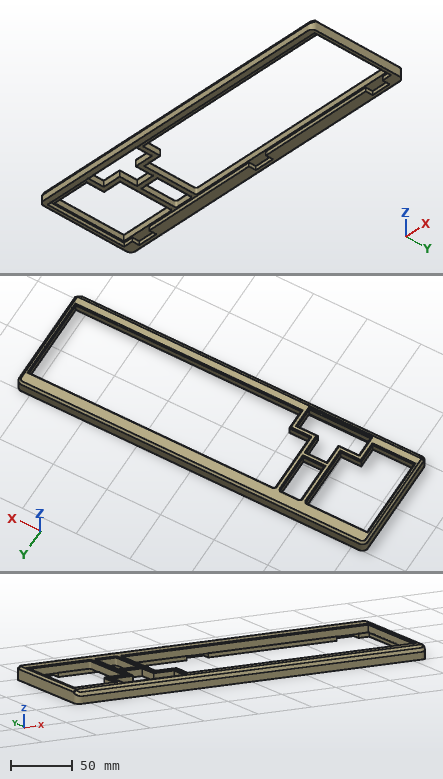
import cadquery as cq
LENGTH = 325.0
DEPTH = 101.5
HEIGHT = 11.5

RIB = 4.95
PITCH = (LENGTH - 4 * RIB) / 16
KEY_ROWS = 4
LEFT_KEYS = 3

CORNER_RADIUS = 5.0
RIB_ROOT_RADIUS = 1.6
OUTER_CHAMFER = 2.0
OPENING_CHAMFER = 1.0

RECESS_HEIGHT = 4.0
RECESS_MARGIN = 1.5
NOTCH_LENGTH = 20.0
NOTCH_SPACING = 139.0

SLOPE_DEPTH = CORNER_RADIUS
SLOPE_DROP = 3.0

LEFT_X = -LENGTH / 2 + RIB
RIGHT_X = LENGTH / 2 - RIB
REAR_Y = KEY_ROWS * PITCH / 2
FRONT_Y = -REAR_Y
STEP_Y = FRONT_Y + PITCH
COLUMN_LEFT_X = LEFT_X + LEFT_KEYS * PITCH + RIB
COLUMN_RIGHT_X = COLUMN_LEFT_X + PITCH
COLUMN_FRONT_Y = REAR_Y - 2 * PITCH
ARROW_REAR_Y = COLUMN_FRONT_Y - RIB
ARROW_STEP_Y = ARROW_REAR_Y - PITCH
ARROW_FRONT_Y = ARROW_STEP_Y - PITCH

LEFT_OPENING = [
    (LEFT_X, FRONT_Y),
    (COLUMN_LEFT_X - RIB - PITCH, FRONT_Y),
    (COLUMN_LEFT_X - RIB - PITCH, STEP_Y),
    (COLUMN_LEFT_X - RIB, STEP_Y),
    (COLUMN_LEFT_X - RIB, REAR_Y),
    (LEFT_X, REAR_Y),
]
COLUMN_OPENING = [
    (COLUMN_LEFT_X, COLUMN_FRONT_Y),
    (COLUMN_RIGHT_X, COLUMN_FRONT_Y),
    (COLUMN_RIGHT_X, REAR_Y),
    (COLUMN_LEFT_X, REAR_Y),
]
ARROW_OPENING = [
    (COLUMN_LEFT_X - PITCH, ARROW_FRONT_Y),
    (COLUMN_RIGHT_X + PITCH, ARROW_FRONT_Y),
    (COLUMN_RIGHT_X + PITCH, ARROW_STEP_Y),
    (COLUMN_RIGHT_X, ARROW_STEP_Y),
    (COLUMN_RIGHT_X, ARROW_REAR_Y),
    (COLUMN_LEFT_X, ARROW_REAR_Y),
    (COLUMN_LEFT_X, ARROW_STEP_Y),
    (COLUMN_LEFT_X - PITCH, ARROW_STEP_Y),
]
RIGHT_OPENING = [
    (COLUMN_RIGHT_X + RIB + PITCH, FRONT_Y),
    (RIGHT_X, FRONT_Y),
    (RIGHT_X, REAR_Y),
    (COLUMN_RIGHT_X + RIB, REAR_Y),
    (COLUMN_RIGHT_X + RIB, STEP_Y),
    (COLUMN_RIGHT_X + RIB + PITCH, STEP_Y),
]

RIB_ROOTS_X = [
    COLUMN_LEFT_X - RIB,
    COLUMN_LEFT_X,
    COLUMN_RIGHT_X,
    COLUMN_RIGHT_X + RIB,
]


def make_body():
    """Solid slab with a sloped front, rounded corners and a chamfered top rim."""
    front = -DEPTH / 2
    profile = [
        (front, 0),
        (front, HEIGHT - SLOPE_DROP),
        (front + SLOPE_DEPTH, HEIGHT),
        (DEPTH / 2, HEIGHT),
        (DEPTH / 2, 0),
    ]
    slab = cq.Workplane("YZ").polyline(profile).close().extrude(LENGTH / 2, both=True)
    slab = slab.edges("|Z").fillet(CORNER_RADIUS)
    crease = cq.selectors.NearestToPointSelector((0, front + SLOPE_DEPTH, HEIGHT))
    rim = cq.selectors.StringSyntaxSelector("not (|Z or <Z)") - crease
    return slab.edges(rim).chamfer(OUTER_CHAMFER)


def make_opening(outline):
    """Through cutter for one opening, rounded where a rib meets the rear bar."""
    cutter = cq.Workplane("XY").polyline(outline).close().extrude(HEIGHT)
    for x in RIB_ROOTS_X:
        if (x, REAR_Y) in outline:
            root = cq.selectors.NearestToPointSelector((x, REAR_Y, HEIGHT / 2))
            cutter = cutter.edges(root).fillet(RIB_ROOT_RADIUS)
    return cutter


def make_recess():
    """Block filling the recess, with three notches reaching into the rear bar."""
    wall = RIB - RECESS_MARGIN
    length = LENGTH - 2 * wall
    front_y = ARROW_FRONT_Y - RECESS_MARGIN
    rear_y = REAR_Y + RECESS_MARGIN
    notch_rear_y = DEPTH / 2 - wall
    recess = cq.Workplane("XY").box(
        length, rear_y - front_y, RECESS_HEIGHT, centered=(True, False, False)
    ).translate((0, front_y, 0))
    notch = cq.Workplane("XY").box(
        NOTCH_LENGTH, notch_rear_y - front_y, RECESS_HEIGHT, centered=(True, False, False)
    ).translate((0, front_y, 0))
    for x in (-NOTCH_SPACING, 0, NOTCH_SPACING):
        recess = recess.union(notch.translate((x, 0, 0)))
    return recess


def chamfer_openings(bezel):
    """Break the top edge of every opening."""
    opening_wires = bezel.faces(">Z").val().innerWires()
    return bezel.newObject(opening_wires).edges().chamfer(OPENING_CHAMFER)


bezel = make_body()
for outline in (LEFT_OPENING, COLUMN_OPENING, ARROW_OPENING, RIGHT_OPENING):
    bezel = bezel.cut(make_opening(outline))
bezel = bezel.cut(make_recess())
result = chamfer_openings(bezel)